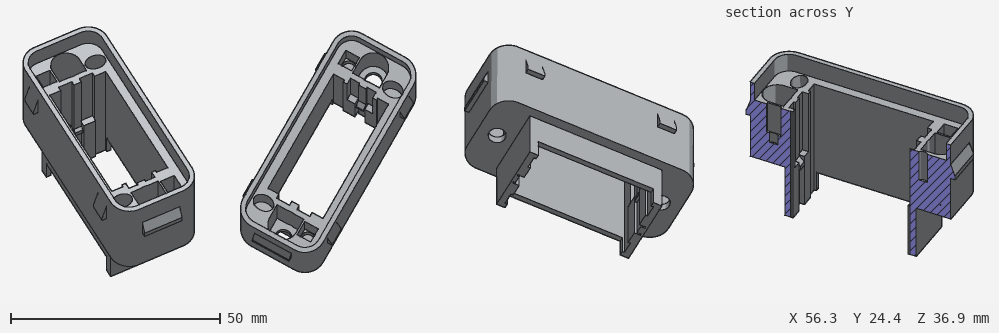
import cadquery as cq

total_length = 56.3
total_width = 24.4

body_length = 54.05
body_width = 21.95
body_height = 22.4
corner_radius = 5.05
rim_wall = 1.25
rim_depth = 5.0
floor_z = body_height - rim_depth

skirt_length = 35.4
skirt_width = 17.5
skirt_depth = 14.45
leg_height = 5.45
leg_thickness = 2.25
leg_inner_x = skirt_length / 2 - leg_thickness

window_length = 32.05
window_width = 15.1

side_hook_width = 4.45
side_hook_x = 17.7
side_hook_levels = (4.05, 8.15, 9.2)
end_hook_width = 10.1
end_hook_levels = (5.85, 8.9, 10.2)

screw_hole_diameter = 4.3
screw_x = 22.0
screw_pocket_radius = 3.65
screw_pocket_inner_x = 18.45
screw_floor_thickness = 2.25

oval_length_x = 3.85
oval_length_y = 5.2
oval_center = (-19.65, 6.7)
square_size = 3.7
square_center = (20.65, 5.95)
round_recess_diameter = 3.55
coding_pocket_depth = 8.45
round_recess_depth = 2.8

rail_width = 9.1
slot_back_x = 17.1
slot_floor_z = 0.0
right_slot_reach = 3.5
arm_width = 2.0
slit_width = 0.35
left_arm_face_x = 16.0
right_arm_face_x = 16.6
snap_root_x = right_arm_face_x
snap_tip_x = 15.3
snap_tip_height = 1.1

overlap = 0.55
skirt_bottom_z = -skirt_depth


def block(x_range, y_range, z_range):
    """Axis-aligned box between pairs of limits; each pair may come in either order."""
    limits = [sorted(pair) for pair in (x_range, y_range, z_range)]
    sizes = [high - low for low, high in limits]
    return cq.Workplane("XY").box(*sizes, centered=False).translate([low for low, _ in limits])


def make_body():
    """Rounded box with a shallow tray on top that leaves a thin rim."""
    body = cq.Workplane("XY").box(body_length, body_width, body_height, centered=(True, True, False))
    body = body.edges("|Z").fillet(corner_radius)
    tray = (
        cq.Workplane("XY", origin=(0, 0, floor_z))
        .rect(body_length - 2 * rim_wall, body_width - 2 * rim_wall)
        .extrude(rim_depth)
        .edges("|Z")
        .fillet(corner_radius - rim_wall)
    )
    return body.cut(tray)


def make_skirt():
    """Rectangular sleeve below the body, cut away between its two end legs."""
    skirt = block(
        (-skirt_length / 2, skirt_length / 2),
        (-skirt_width / 2, skirt_width / 2),
        (skirt_bottom_z, overlap),
    )
    gap = block(
        (-leg_inner_x, leg_inner_x),
        (-skirt_width / 2, skirt_width / 2),
        (skirt_bottom_z, skirt_bottom_z + leg_height),
    )
    return skirt.cut(gap)


def make_hook(wall_distance, reach, width, levels):
    """Latch wedge on a wall facing +X: sloped from the top, flat front, square underside."""
    start_z, front_z, bottom_z = (body_height - level for level in levels)
    root = wall_distance - overlap
    outline = [
        (root, start_z),
        (wall_distance, start_z),
        (wall_distance + reach, front_z),
        (wall_distance + reach, bottom_z),
        (root, bottom_z),
    ]
    return cq.Workplane("XZ").polyline(outline).close().extrude(width / 2, both=True)


def make_screw_pocket(side):
    """D-shaped pocket whose floor carries a screw hole through the body."""
    pocket_floor = cq.Workplane("XY", origin=(0, 0, screw_floor_thickness))
    depth = floor_z - screw_floor_thickness
    round_end = pocket_floor.center(side * screw_x, 0).circle(screw_pocket_radius).extrude(depth)
    flat_end = block(
        (side * screw_pocket_inner_x, side * screw_x),
        (-screw_pocket_radius, screw_pocket_radius),
        (screw_floor_thickness, floor_z),
    )
    hole = cq.Workplane("XY").center(side * screw_x, 0).circle(screw_hole_diameter / 2).extrude(floor_z)
    return round_end.union(flat_end).union(hole)


def make_coding_pockets():
    """Oval pocket at one corner of the floor and stepped square pocket at the other end."""
    pocket_top = cq.Workplane("XY", origin=(0, 0, floor_z))
    oval = (
        pocket_top.center(*oval_center)
        .ellipse(oval_length_x / 2, oval_length_y / 2)
        .extrude(-coding_pocket_depth)
    )
    square = (
        pocket_top.center(*square_center)
        .rect(square_size, square_size)
        .extrude(-coding_pocket_depth)
    )
    recess = (
        pocket_top.center(*square_center)
        .circle(round_recess_diameter / 2)
        .extrude(-coding_pocket_depth - round_recess_depth)
    )
    return oval.union(square).union(recess)


def make_guide(side, slot_reach, arm_face_x):
    """Rail on one window end, with a slot either side of a central snap arm.

    Returns the rail to add first, the clearance to remove next and the snap to add last.
    """
    full_height = (skirt_bottom_z, floor_z)
    rail = block(
        (side * leg_inner_x, side * (window_length / 2 + overlap)),
        (-rail_width / 2, rail_width / 2),
        full_height,
    )
    arm_edge = arm_width / 2
    slit_edge = arm_edge + slit_width
    depth_range = (side * snap_tip_x, side * slot_back_x)
    clearance = block(
        (side * snap_tip_x, side * arm_face_x), (-arm_edge, arm_edge), full_height
    )
    for y_side in (-1, 1):
        slit = block(depth_range, (y_side * arm_edge, y_side * slit_edge), full_height)
        slot = block(depth_range, (y_side * arm_edge, y_side * slot_reach), (slot_floor_z, floor_z))
        clearance = clearance.union(slit).union(slot)

    lead_in = snap_root_x - snap_tip_x
    tip_top_z = slot_floor_z - lead_in
    outline = [
        (side * slot_back_x, slot_floor_z),
        (side * snap_root_x, slot_floor_z),
        (side * snap_tip_x, tip_top_z),
        (side * snap_tip_x, tip_top_z - snap_tip_height),
        (side * slot_back_x, tip_top_z - snap_tip_height),
    ]
    snap = cq.Workplane("XZ").polyline(outline).close().extrude(arm_edge, both=True)
    return rail, clearance, snap


result = make_body().union(make_skirt())
result = result.cut(
    block(
        (-window_length / 2, window_length / 2),
        (-window_width / 2, window_width / 2),
        (skirt_bottom_z, floor_z),
    )
)

end_hook = make_hook(
    body_length / 2, (total_length - body_length) / 2, end_hook_width, end_hook_levels
)
side_hook = make_hook(
    body_width / 2, (total_width - body_width) / 2, side_hook_width, side_hook_levels
)
for turn in (0, 180):
    result = result.union(end_hook.rotate((0, 0, 0), (0, 0, 1), turn))
    for x in (-side_hook_x, side_hook_x):
        hook = side_hook.rotate((0, 0, 0), (0, 0, 1), 90 + turn)
        result = result.union(hook.translate((x, 0, 0)))

for side in (-1, 1):
    result = result.cut(make_screw_pocket(side))
for turn in (0, 180):
    result = result.cut(make_coding_pockets().rotate((0, 0, 0), (0, 0, 1), turn))

for side, slot_reach, arm_face_x in (
    (-1, rail_width / 2, left_arm_face_x),
    (1, right_slot_reach, right_arm_face_x),
):
    rail, clearance, snap = make_guide(side, slot_reach, arm_face_x)
    result = result.union(rail).cut(clearance).union(snap)